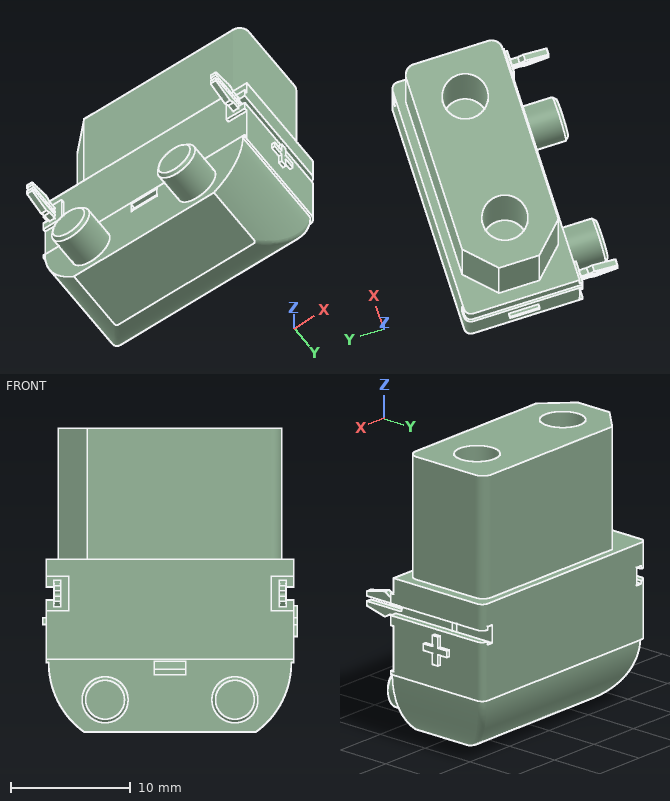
import cadquery as cq
import math


base_width = 20.7
base_front_y = 0.3
base_back_y = 10.25
base_bottom_z = 5.8
base_top_z = 14.45
base_edge_radius = 0.6

plug_top_z = 25.4
plug_width = 18.7
plug_depth = 8.45
plug_chamfer = 2.45
plug_edge_radius = 0.95
plug_center_y = (base_front_y + base_back_y) / 2

cover_inset = 0.2
cover_half_width = base_width / 2 - cover_inset
cover_back_y = base_back_y - cover_inset
cover_floor_half_width = 7.18
cover_floor_back_y = 6.05
cover_edge_radius = 0.5

lip_height = 0.3

window_width = 2.65
window_bottom_z = 4.77
window_ramp_start_z = 5.23
window_top_z = 5.9
window_ledge_depth = 0.15

contact_spacing = 10.85
contact_diameter = 3.85
contact_z = 2.7
contact_tip_y = -3.25
contact_tip_chamfer = 0.3
contact_xs = (-contact_spacing / 2, contact_spacing / 2)

clip_z = 11.58
clip_thickness = 0.55
clip_recess = 0.65
clip_back_y = 6.3
clip_tip_y = contact_tip_y
clip_shank_height = 1.6
clip_barb_height = 2.25
clip_tip_height = 1.3
clip_barb_start_y = -0.7
clip_barb_peak_y = -1.2
clip_split_height = 0.45
clip_split_end_y = 0.67
sides = (-1, 1)

groove_height = 1.05
pad_width = 1.9
pad_height = 2.85

mark_length = 2.6
mark_stroke = 0.6
mark_height = 0.3
mark_y = 5.2
mark_z = 9.27


def block(x_range, y_range, z_range):
    """Box between the given limits; each pair may be in either order."""
    lows = [min(pair) for pair in (x_range, y_range, z_range)]
    sizes = [abs(pair[1] - pair[0]) for pair in (x_range, y_range, z_range)]
    return cq.Workplane("XY").box(*sizes, centered=False).translate(tuple(lows))


def across_side(side, inset_from, inset_to):
    """X limits measured inward from one side of the base."""
    return (side * (base_width / 2 - inset_from), side * (base_width / 2 - inset_to))


def around(center, size):
    """Limits of a span of the given size about its center."""
    return (center - size / 2, center + size / 2)


def make_base():
    base = block(around(0, base_width), (base_front_y, base_back_y), (base_bottom_z, base_top_z))
    base = base.edges("|Z and >Y").fillet(base_edge_radius)
    lip = block(around(0, base_width), (0, base_front_y), (base_bottom_z, base_bottom_z + lip_height))
    return base.union(lip)


def make_plug():
    plug = (
        cq.Workplane("XY", origin=(0, plug_center_y, base_top_z))
        .rect(plug_width, plug_depth)
        .extrude(plug_top_z - base_top_z)
    )
    plug = plug.edges("|Z and <X").chamfer(plug_chamfer)
    return plug.edges("|Z and >X").fillet(plug_edge_radius)


def tangent_arc_middle(start_offset, end_offset):
    """Offset and Z halfway along the arc that leaves the base bottom vertically and ends at Z = 0."""
    sag = start_offset - end_offset
    radius = (sag**2 + base_bottom_z**2) / (2 * sag)
    half_angle = math.asin(base_bottom_z / radius) / 2
    offset = start_offset - radius * (1 - math.cos(half_angle))
    return (offset, base_bottom_z - radius * math.sin(half_angle))


def make_cover():
    side_middle_x, side_middle_z = tangent_arc_middle(cover_half_width, cover_floor_half_width)
    across = (
        cq.Workplane("XZ")
        .moveTo(-cover_half_width, base_bottom_z)
        .lineTo(cover_half_width, base_bottom_z)
        .threePointArc((side_middle_x, side_middle_z), (cover_floor_half_width, 0))
        .lineTo(-cover_floor_half_width, 0)
        .threePointArc((-side_middle_x, side_middle_z), (-cover_half_width, base_bottom_z))
        .close()
        .extrude(-cover_back_y)
    )
    along = (
        cq.Workplane("YZ")
        .moveTo(0, base_bottom_z)
        .lineTo(cover_back_y, base_bottom_z)
        .threePointArc(tangent_arc_middle(cover_back_y, cover_floor_back_y), (cover_floor_back_y, 0))
        .lineTo(0, 0)
        .close()
        .extrude(cover_half_width, both=True)
    )
    cover = across.intersect(along)
    back_middle_y = tangent_arc_middle(cover_back_y, cover_floor_back_y)[0]
    for side in sides:
        back_edge_middle = (side * side_middle_x, back_middle_y, side_middle_z)
        back_edge = cq.selectors.NearestToPointSelector(back_edge_middle)
        cover = cover.edges(back_edge).fillet(cover_edge_radius)
    return cover


def make_window():
    """Latch window with a 45 degree ramp that rises inward from a shallow ledge."""
    ramp_rise = window_top_z - window_ramp_start_z
    return (
        cq.Workplane("YZ")
        .moveTo(0, window_bottom_z)
        .lineTo(window_ledge_depth, window_bottom_z)
        .lineTo(window_ledge_depth, window_ramp_start_z)
        .lineTo(window_ledge_depth + ramp_rise, window_top_z)
        .lineTo(0, window_top_z)
        .close()
        .extrude(window_width / 2, both=True)
    )


def make_clip_pad(side):
    return block(across_side(side, 0, pad_width), (0, base_front_y), around(clip_z, pad_height))


def make_groove(side):
    """Open side groove plus the taller clip channel inboard of it, both running front to back."""
    groove = block(across_side(side, 0, clip_recess), (0, base_back_y), around(clip_z, groove_height))
    channel_x = across_side(side, clip_recess, clip_recess + clip_thickness)
    channel = block(channel_x, (0, base_back_y), around(clip_z, clip_shank_height))
    return groove.union(channel)


def make_minus_mark(side):
    mark_x = across_side(side, -mark_height, 0)
    return block(mark_x, around(mark_y, mark_length), around(mark_z, mark_stroke))


def make_plus_mark(side):
    mark_x = across_side(side, -mark_height, 0)
    upright = block(mark_x, around(mark_y, mark_stroke), around(mark_z, mark_length))
    return make_minus_mark(side).union(upright)


def make_contact(x):
    """Right-angle contact: solder tail along Y, round elbow, riser up to the socket floor."""
    radius = contact_diameter / 2
    tail = (
        cq.Workplane("XZ", origin=(x, contact_tip_y, contact_z))
        .circle(radius)
        .extrude(contact_tip_y - plug_center_y)
        .faces("<Y")
        .chamfer(contact_tip_chamfer)
    )
    elbow = cq.Workplane("XY", origin=(x, plug_center_y, contact_z)).sphere(radius)
    riser = (
        cq.Workplane("XY", origin=(x, plug_center_y, contact_z))
        .circle(radius)
        .extrude(base_top_z - contact_z)
    )
    return tail.union(elbow).union(riser)


def make_socket(x):
    return (
        cq.Workplane("XY", origin=(x, plug_center_y, base_top_z))
        .circle(contact_diameter / 2)
        .extrude(plug_top_z - base_top_z)
    )


def make_clip(side):
    """Flat barbed clip, split from its tip by a slot with a round end."""
    upper_edge = [
        (clip_back_y, clip_shank_height / 2),
        (clip_barb_start_y, clip_shank_height / 2),
        (clip_barb_peak_y, clip_barb_height / 2),
        (clip_tip_y, clip_tip_height / 2),
    ]
    lower_edge = [(y, -z) for y, z in reversed(upper_edge)]
    inner_x = min(across_side(side, clip_recess, clip_recess + clip_thickness))
    plane = cq.Workplane("YZ", origin=(inner_x, 0, clip_z))
    clip = plane.polyline(upper_edge + lower_edge).close().extrude(clip_thickness)

    split_radius = clip_split_height / 2
    split = (
        plane.moveTo(clip_tip_y, split_radius)
        .lineTo(clip_split_end_y - split_radius, split_radius)
        .threePointArc((clip_split_end_y, 0), (clip_split_end_y - split_radius, -split_radius))
        .lineTo(clip_tip_y, -split_radius)
        .close()
        .extrude(clip_thickness)
    )
    return clip.cut(split)


def make_housing(contacts):
    housing = make_base().union(make_plug()).union(make_cover()).cut(make_window())
    for side in sides:
        housing = housing.union(make_clip_pad(side)).cut(make_groove(side))
    left, right = sides
    housing = housing.union(make_minus_mark(left)).union(make_plus_mark(right))
    for x, contact in zip(contact_xs, contacts):
        housing = housing.cut(make_socket(x)).cut(contact)
    return housing


contacts = [make_contact(x) for x in contact_xs]
clips = [make_clip(side) for side in sides]
housing = make_housing(contacts)

result = cq.Compound.makeCompound([body.val() for body in [housing, *contacts, *clips]])